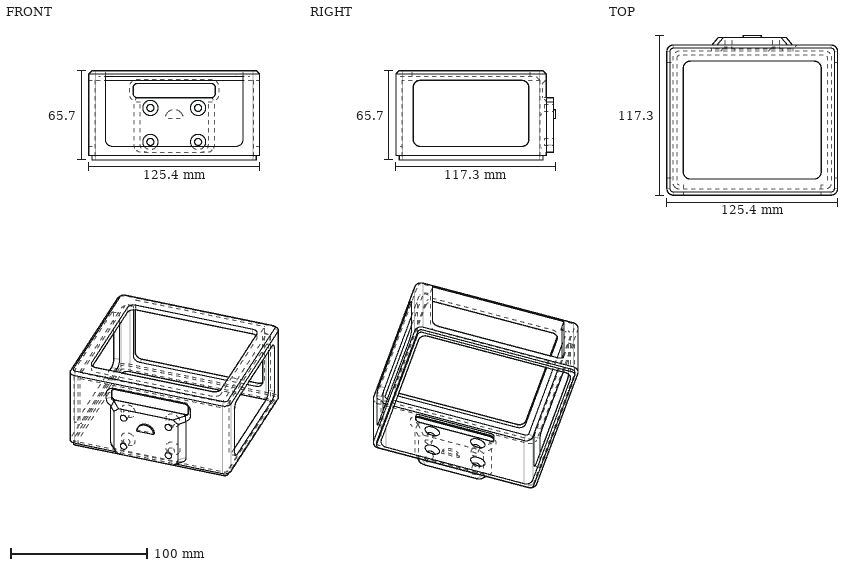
import cadquery as cq
import math

length = 125.4
depth = 110.4
height = 65.7
corner_radius = 5.0
wall = 4.5
roof = 4.3
edge_chamfer = 2.4
lip_height = 3.4
lip_inset = 2.4
cavity_chamfer = 3.0

window_length = 101.0
window_radius = 5.0
roof_window_depth = 86.3
side_window_depth = 84.6
window_sill = 10.2
side_window_top = height - roof - cavity_chamfer

pad_base_length = 59.0
pad_thickness = 5.4
pad_taper = 4.5
pad_height = 40.1
pad_top = 45.9
pad_corner_length = 3.8
pad_corner_height = 3.1
pad_radius = 5.4

slot_length = 60.1
slot_height = 10.3
slot_radius = 2.9
slot_straight_depth = 1.6
flare_angle = 45.0

screw_spacing_x = 35.0
screw_spacing_z = 25.0
screw_diameter = 5.0
countersink_diameter = 11.2
countersink_angle = 90.0

marker_radius = 6.6
marker_thickness = 1.5
marker_base = 30.5

back = depth - wall
flare_start = back + slot_straight_depth
pad_face = depth + pad_thickness
pad_middle = pad_top - pad_height / 2


def rounded_block(size_x, size_y, size_z, radius, base_z):
    """Block with rounded vertical edges, centred on the frame."""
    return (
        cq.Workplane("XY", origin=(0, depth / 2, base_z))
        .rect(size_x, size_y)
        .extrude(size_z)
        .edges("|Z")
        .fillet(radius)
    )


def back_plane(y):
    """Sketch plane at the given Y whose normal points to +Y; its local X is -X."""
    return cq.Workplane(cq.Plane(origin=(0, y, 0), xDir=(-1, 0, 0), normal=(0, 1, 0)))


def make_frame():
    body = rounded_block(length, depth, height - lip_height, corner_radius, lip_height)
    body = body.faces(">Z").chamfer(edge_chamfer)
    lip = rounded_block(
        length - 2 * lip_inset, depth - 2 * lip_inset, lip_height, corner_radius - lip_inset, 0
    )
    cavity = rounded_block(length - 2 * wall, depth - 2 * wall, height - roof, corner_radius, 0)
    cavity = cavity.faces(">Z").chamfer(cavity_chamfer)
    return body.union(lip).cut(cavity)


def roof_window():
    return rounded_block(window_length, roof_window_depth, roof, window_radius, height - roof)


def front_window():
    """Rounded below, square above where it meets the roof underside."""
    window_height = height - roof - window_sill
    return (
        back_plane(0)
        .center(0, window_sill + window_height / 2)
        .rect(window_length, window_height)
        .extrude(depth / 2)
        .edges("|Y and <Z")
        .fillet(window_radius)
    )


def side_windows():
    window_height = side_window_top - window_sill
    return (
        cq.Workplane("YZ", origin=(0, depth / 2, window_sill + window_height / 2))
        .rect(side_window_depth, window_height)
        .extrude(length, both=True)
        .edges("|X")
        .fillet(window_radius)
    )


def pad_outline(plane, half_length):
    """Pad section with bevelled upper corners and rounded lower corners."""
    bottom = pad_top - pad_height
    arc_offset = pad_radius * (1 - math.sqrt(0.5))
    return (
        plane.moveTo(half_length - pad_corner_length, pad_top)
        .lineTo(half_length, pad_top - pad_corner_height)
        .lineTo(half_length, bottom + pad_radius)
        .threePointArc(
            (half_length - arc_offset, bottom + arc_offset), (half_length - pad_radius, bottom)
        )
        .lineTo(pad_radius - half_length, bottom)
        .threePointArc(
            (arc_offset - half_length, bottom + arc_offset), (-half_length, bottom + pad_radius)
        )
        .lineTo(-half_length, pad_top - pad_corner_height)
        .lineTo(pad_corner_length - half_length, pad_top)
        .close()
    )


def make_pad():
    """Tapered pad whose root continues through the slot flare inside the wall."""
    root_depth = depth - flare_start
    root_half_length = pad_base_length / 2 + root_depth * pad_taper / pad_thickness
    root = pad_outline(back_plane(flare_start), root_half_length)
    outer_plane = root.workplane(offset=root_depth + pad_thickness)
    return pad_outline(outer_plane, pad_base_length / 2 - pad_taper).loft(ruled=True)


def slot_outline(y):
    """Rounded slot outline on the plane at the given Y."""
    outline = cq.Sketch().rect(slot_length, slot_height).vertices().fillet(slot_radius)
    return back_plane(y).center(0, pad_top + slot_height / 2).placeSketch(outline)


def straight_slot():
    return slot_outline(back).extrude(wall + pad_thickness)


def slot_flare():
    """Widening of the slot towards the back face."""
    return slot_outline(flare_start).extrude(depth - flare_start, taper=-flare_angle)


def marker():
    return (
        back_plane(pad_face)
        .moveTo(marker_radius, marker_base)
        .threePointArc((0, marker_base + marker_radius), (-marker_radius, marker_base))
        .close()
        .extrude(marker_thickness)
    )


def screw_cutters():
    """Cylinders with a countersink cone opening into the cavity."""
    screw_radius = screw_diameter / 2
    head_radius = countersink_diameter / 2
    cone_depth = (head_radius - screw_radius) / math.tan(math.radians(countersink_angle / 2))
    profile = (
        cq.Workplane("XY", origin=(0, back, pad_middle))
        .lineTo(head_radius, 0)
        .lineTo(screw_radius, cone_depth)
        .lineTo(screw_radius, wall + pad_thickness)
        .lineTo(0, wall + pad_thickness)
        .close()
    )
    cutter = profile.revolve(360, (0, 0, 0), (0, 1, 0))
    cutters = cq.Workplane("XY")
    for x in (-screw_spacing_x / 2, screw_spacing_x / 2):
        for z in (-screw_spacing_z / 2, screw_spacing_z / 2):
            cutters = cutters.add(cutter.translate((x, 0, z)))
    return cutters.combine()


frame = make_frame().cut(roof_window()).cut(front_window()).cut(side_windows()).cut(slot_flare())
result = frame.union(make_pad()).union(marker()).cut(straight_slot()).cut(screw_cutters())